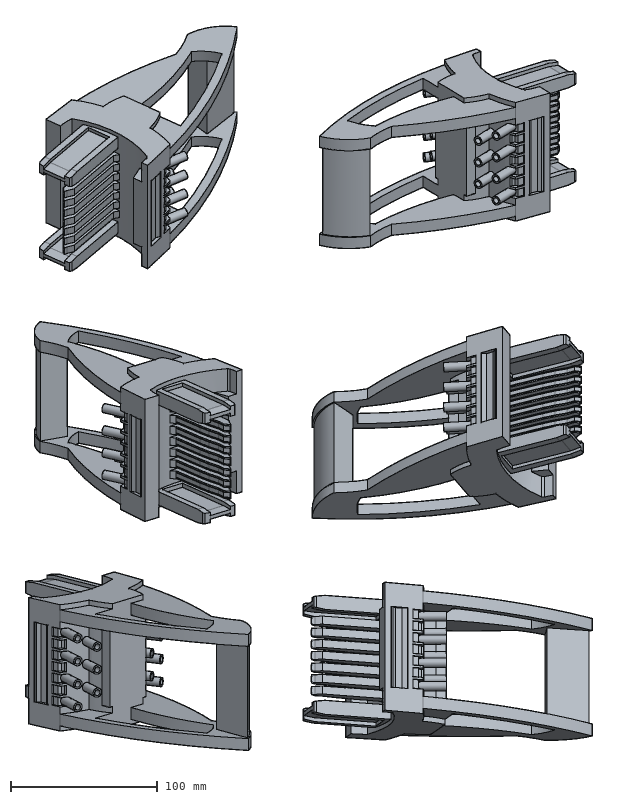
import cadquery as cq
import math


body_height = 89.5
foot_half_width = 43.0
shoulder_half_width = 41.5
shoulder_y = 27.8
neck_half_width = 19.8
neck_y = 34.5
neck_top_half_width = 15.3
neck_top_y = 52.3
beyond_side = 46.5
socket_height = 56.5

arm_thickness = 8.5
arm_z = 37.0

blade_thickness = 9.9
blade_z = 36.7
blade_left = -21.5
blade_right = 5.9
blade_root_y = 18.2
blade_tip_y = -38.3
blade_taper_y = -30.7
blade_taper = 1.2
rib_width = 4.8
recess_start_y = 13.1
outer_recess_depth = 2.6
inner_recess_depth = 3.0
web_outer_taper = 1.0
web_inner_taper = 0.5

row_count = 7
row_span = 48.8
row_pitch = row_span / (row_count - 1)
contact_height = 5.6
ridge_height = 3.6
ridge_rise = 0.6

pin_diameter = 6.5
pin_bore = 4.0
pin_bore_depth = 6.0
pin_length = 28.2
pin_tilt = 19.4
outer_pin_end = (42.0, 44.5)
inner_pin_end = (27.5, 49.2)
notch_height = 6.5

row_heights = [i * row_pitch - row_span / 2 for i in range(row_count)]


def slab(sketch, height, z_mid=0):
    """Extrude a closed XY outline by `height`, centred on z_mid."""
    return sketch.extrude(height / 2, both=True).translate((0, 0, z_mid))


def both_sides(solid, plane):
    """The solid together with its mirror image."""
    return solid.union(solid.mirror(plane))


def make_body():
    outline = (
        cq.Workplane("XY")
        .moveTo(-foot_half_width, 0)
        .lineTo(-shoulder_half_width, shoulder_y)
        .threePointArc((-31.0, 31.9), (-neck_half_width, neck_y))
        .threePointArc((-18.4, 43.5), (-neck_top_half_width, neck_top_y))
        .lineTo(neck_top_half_width, neck_top_y)
        .threePointArc((18.4, 43.5), (neck_half_width, neck_y))
        .threePointArc((31.0, 31.9), (shoulder_half_width, shoulder_y))
        .lineTo(foot_half_width, 0)
        .lineTo(38.0, 0)
        .lineTo(37.5, 6.3)
        .lineTo(36.5, 7.9)
        .threePointArc((0.5, 16.7), (-29.0, 11.0))
        .threePointArc((-30.3, 5.6), (-30.7, 0))
        .close()
    )
    leg_block = cq.Workplane("XY").polyline([(28.0, 14.1), (28.0, 10.9), (30.9, 0), (40.3, 0), (40.3, 14.1)]).close()
    return slab(outline, body_height).union(slab(leg_block, socket_height))


def make_terminal_bar():
    bar_half_width = 18.2
    bar_front_y = 44.8
    bar_depth = neck_top_y - bar_front_y
    return cq.Workplane("XY").box(2 * bar_half_width, bar_depth, socket_height).translate(
        (0, bar_front_y + bar_depth / 2, 0)
    )


def make_side_grooves():
    profile = [
        (-beyond_side, 16.7), (-41.2, 16.7), (-39.5, 13.5), (-40.0, 8.5),
        (-41.8, 6.3), (-42.2, 4.8), (-beyond_side, 4.8),
    ]
    return both_sides(slab(cq.Workplane("XY").polyline(profile).close(), socket_height), "YZ")


def make_pin_notches():
    """Openings in the body sides around the foot of each row of pins."""
    profile = [
        (-beyond_side, 20.5), (-40.3, 20.5), (-40.3, 24.8), (-38.1, 25.8),
        (-37.3, 28.0), (-37.3, neck_y), (-beyond_side, neck_y),
    ]
    notches = cq.Workplane("XY")
    for z in row_heights:
        notches = notches.union(slab(cq.Workplane("XY").polyline(profile).close(), notch_height, z))
    return both_sides(notches, "YZ")


def make_arm():
    outline = (
        cq.Workplane("XY")
        .moveTo(-shoulder_half_width, shoulder_y)
        .threePointArc((-34.7, 63.3), (-16.7, 114.0))
        .threePointArc((-19.4, 126.0), (-23.2, 136.2))
        .threePointArc((-15.5, 151.5), (-0.8, 163.0))
        .threePointArc((27.0, 101.5), (shoulder_half_width, shoulder_y))
        .close()
    )
    window = (
        cq.Workplane("XY")
        .moveTo(-3.2, neck_top_y)
        .lineTo(32.5, neck_top_y)
        .threePointArc((23.2, 93.0), (8.3, 133.0))
        .threePointArc((-1.6, 129.0), (-9.7, 122.5))
        .threePointArc((-3.8, 92.8), (-3.2, neck_top_y))
        .close()
    )
    return slab(outline, arm_thickness, arm_z).cut(slab(window, 2 * arm_thickness, arm_z))


def make_grip_bar():
    outline = (
        cq.Workplane("XY")
        .moveTo(-22.5, 136.2)
        .threePointArc((-15.0, 150.5), (-2.0, 161.2))
        .lineTo(-3.0, 131.3)
        .close()
    )
    return slab(outline, 2 * arm_z)


def thickness_wedge(left, right, outer, inner, outer_end, inner_end):
    """Bar whose Z faces lie `outer` above and `inner` below mid height, pinched towards the tip."""
    profile = [
        (blade_root_y, outer), (blade_taper_y, outer), (blade_tip_y, outer_end),
        (blade_tip_y, -inner_end), (blade_taper_y, -inner), (blade_root_y, -inner),
    ]
    return cq.Workplane("YZ").polyline(profile).close().extrude(right - left).translate((left, 0, 0))


def make_blade():
    """Upper blade: H section with open-ended recesses in both Z faces."""
    half = blade_thickness / 2
    tip_half = half - blade_taper
    web_left = blade_left + rib_width
    web_right = blade_right - rib_width
    web_outer = half - outer_recess_depth
    web_inner = half - inner_recess_depth
    plan = [
        (blade_left, blade_root_y), (blade_right, blade_root_y),
        (blade_right, -36.7), (blade_right - 1.0, blade_tip_y),
        (web_left, blade_tip_y), (blade_left + 0.6, -37.5), (blade_left, -36.0),
    ]
    blade = thickness_wedge(blade_left, blade_right, half, half, tip_half, tip_half)
    blade = blade.intersect(slab(cq.Workplane("XY").polyline(plan).close(), 2 * blade_thickness))

    recess_length = recess_start_y - blade_tip_y
    channel = cq.Workplane("XY").box(web_right - web_left, recess_length, 2 * blade_thickness).translate(
        ((web_left + web_right) / 2, blade_tip_y + recess_length / 2, 0)
    )
    web = thickness_wedge(
        web_left, web_right, web_outer, web_inner, web_outer - web_outer_taper, web_inner - web_inner_taper
    )
    return blade.cut(channel.cut(web)).translate((0, 0, blade_z))


def make_contact(z):
    """Sprung contact with a flared root, buried in the body behind the cavity."""
    working_side = [(-4.6, 13.1), (-4.2, -12.1), (-3.6, -21.2), (-2.5, -29.7), (-2.8, -35.3), (0, -38.7)]
    back_side = [
        (1.0, -38.7), (1.8, -36.7), (4.6, -32.3), (4.6, 13.1),
        (7.3, 16.1), (7.3, 20.2), (-7.3, 20.2), (-7.3, 16.1),
    ]
    ridge = slab(cq.Workplane("XY").polyline(working_side + back_side).close(), ridge_height, z)
    set_back = working_side[:1] + [(x + ridge_rise, y) for x, y in working_side]
    leaf = slab(cq.Workplane("XY").polyline(set_back + back_side).close(), contact_height, z)
    return leaf.union(ridge)


def make_pin(end, z):
    """Tilted solder cup on the -X side; `end` is the (distance from X = 0, Y) of its rim centre."""
    tilt = math.radians(pin_tilt)
    inward = cq.Vector(math.sin(tilt), -math.cos(tilt), 0)
    rim = cq.Vector(-end[0], end[1], z)
    barrel = cq.Solid.makeCylinder(pin_diameter / 2, pin_length, rim, inward)
    bore = cq.Solid.makeCylinder(pin_bore / 2, pin_bore_depth, rim, inward)
    return cq.Workplane("XY").add(barrel.cut(bore))


result = make_body().union(make_terminal_bar())
result = result.cut(make_side_grooves()).cut(make_pin_notches())
result = result.union(both_sides(make_arm(), "XY")).union(make_grip_bar())
result = result.union(both_sides(make_blade(), "XY"))

for row, row_z in enumerate(row_heights):
    result = result.union(make_contact(row_z))
    pin_end = outer_pin_end if row % 2 == 0 else inner_pin_end
    result = result.union(both_sides(make_pin(pin_end, row_z), "YZ"))